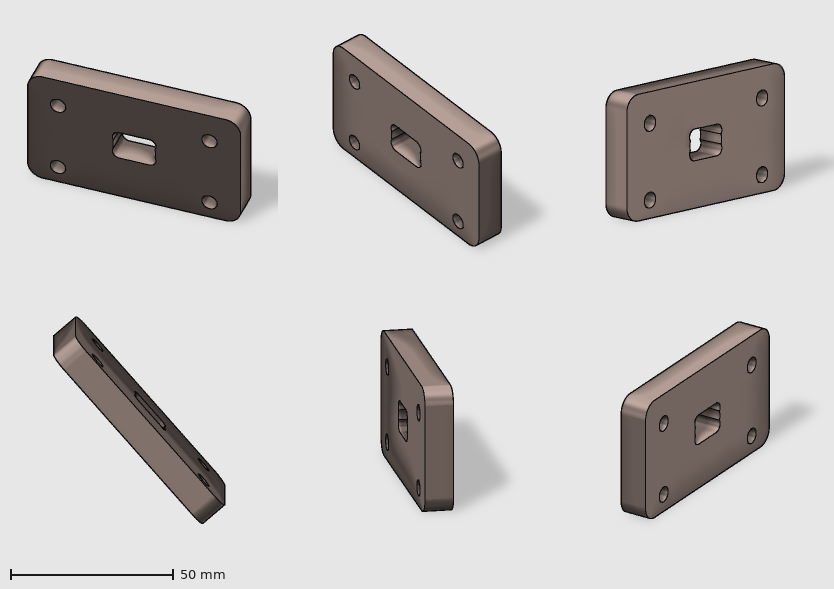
import cadquery as cq

plate_width = 70.0
plate_thickness = 9.0
plate_height = 40.0
corner_radius = 5.0

hole_diameter = 5.0
left_hole_x = -25.0
right_hole_x = 24.75
upper_hole_z = 10.0
lower_hole_z = -14.2

window_width = 14.3
window_height = 10.0
window_corner_radius = 2.25
relief_diameter = 14.0
window_corner_x = window_width / 2 - window_corner_radius
window_corner_z = window_height / 2 - window_corner_radius


def make_plate():
    """Rectangular plate with its four corners rounded."""
    blank = cq.Workplane("XY").box(plate_width, plate_thickness, plate_height)
    return blank.edges("|Y").fillet(corner_radius)


def round_cutters(points, diameter):
    """Cylinders through the full plate thickness at the given (x, z) points."""
    workplane = cq.Workplane("XZ").pushPoints(points)
    return workplane.circle(diameter / 2).extrude(plate_thickness / 2, both=True)


def mounting_hole_cutters():
    points = [(x, z) for x in (left_hole_x, right_hole_x) for z in (lower_hole_z, upper_hole_z)]
    return round_cutters(points, hole_diameter)


def window_cutter():
    """Rectangular core joined to four corner cylinders and a central disc trimmed at the corner centres."""
    core = cq.Workplane("XY").box(2 * window_corner_x, plate_thickness, window_height)
    height_limit = cq.Workplane("XY").box(window_width, plate_thickness, 2 * window_corner_z)
    cutter = core.union(round_cutters([(0, 0)], relief_diameter).intersect(height_limit))
    for x in (-window_corner_x, window_corner_x):
        for z in (-window_corner_z, window_corner_z):
            cutter = cutter.union(round_cutters([(x, z)], 2 * window_corner_radius))
    return cutter


result = make_plate().cut(mounting_hole_cutters()).cut(window_cutter())